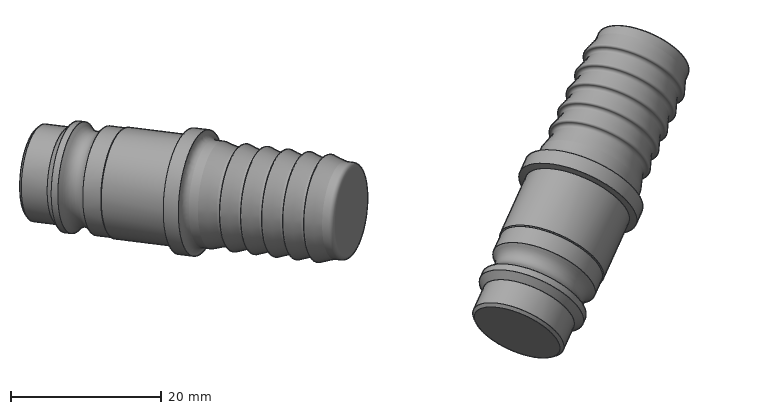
import cadquery as cq
import math

LENGTH = 45.0

BODY_RADIUS = 6.55
NOSE_CHAMFER = 0.4
SLEEVE_RADIUS = 7.5
RIDGE_TOP_START = 5.05
RIDGE_TOP_WIDTH = 0.95

GROOVE_EDGE_RADIUS = 6.98
GROOVE_WIDTH = 2.55

LAND_RADIUS = 7.4
SLEEVE_START = 12.2

FLANGE_RADIUS = 8.5
FLANGE_START = 21.4
FLANGE_WIDTH = 2.15
FLANK_WIDTH = 0.2
FLANGE_FILLET = 1.0

HUB_RADIUS = 7.25
HUB_END = 25.9
HUB_TAPER_END = 28.35

BARB_COUNT = 5
FIRST_BARB = 28.9
LAST_BARB = 40.9
BARB_CREST_RADIUS = 7.4
BARB_ANGLE = 18.0
CREST_ROUNDING = 0.25
ROOT_ROUNDING = 0.4
END_ROUNDING = 0.6

BARB_PITCH = (LAST_BARB - FIRST_BARB) / (BARB_COUNT - 1)
BARB_SLOPE = math.tan(math.radians(BARB_ANGLE))
BARB_ROOT_RADIUS = BARB_CREST_RADIUS - BARB_PITCH * BARB_SLOPE
BARB_WALLS = [FIRST_BARB + i * BARB_PITCH for i in range(BARB_COUNT)]
FLANGE_END = FLANGE_START + FLANGE_WIDTH


def add_plug(profile):
    """Nose, ridge, groove, land and sleeve, up to the flange."""
    ridge_top_end = RIDGE_TOP_START + RIDGE_TOP_WIDTH
    groove_start = ridge_top_end + SLEEVE_RADIUS - GROOVE_EDGE_RADIUS
    groove_end = groove_start + GROOVE_WIDTH
    groove_depth = GROOVE_WIDTH / 2 * math.tan(math.radians(45 / 2))
    groove_floor = (groove_start + GROOVE_WIDTH / 2, GROOVE_EDGE_RADIUS - groove_depth)
    land_start = groove_end + LAND_RADIUS - GROOVE_EDGE_RADIUS
    sleeve_step = SLEEVE_RADIUS - LAND_RADIUS
    return (
        profile.lineTo(0, BODY_RADIUS - NOSE_CHAMFER)
        .lineTo(NOSE_CHAMFER, BODY_RADIUS)
        .lineTo(RIDGE_TOP_START - (SLEEVE_RADIUS - BODY_RADIUS), BODY_RADIUS)
        .lineTo(RIDGE_TOP_START, SLEEVE_RADIUS)
        .lineTo(ridge_top_end, SLEEVE_RADIUS)
        .lineTo(groove_start, GROOVE_EDGE_RADIUS)
        .threePointArc(groove_floor, (groove_end, GROOVE_EDGE_RADIUS))
        .lineTo(land_start, LAND_RADIUS)
        .lineTo(SLEEVE_START - sleeve_step, LAND_RADIUS)
        .lineTo(SLEEVE_START, SLEEVE_RADIUS)
        .lineTo(FLANGE_START - FLANK_WIDTH, SLEEVE_RADIUS)
    )


def add_flange_and_hub(profile):
    """Flange and tapered hub, up to the root of the first barb."""
    return (
        profile.lineTo(FLANGE_START, FLANGE_RADIUS)
        .lineTo(FLANGE_END, FLANGE_RADIUS)
        .lineTo(FLANGE_END + FLANK_WIDTH, HUB_RADIUS)
        .lineTo(HUB_END, HUB_RADIUS)
        .lineTo(HUB_TAPER_END, BODY_RADIUS)
        .lineTo(FIRST_BARB, BODY_RADIUS)
    )


def add_barbs(profile):
    """Sawtooth barbs with sharp corners, then the plain hose end."""
    for wall in BARB_WALLS[:-1]:
        profile = profile.lineTo(wall, BARB_CREST_RADIUS)
        profile = profile.lineTo(wall + BARB_PITCH, BARB_ROOT_RADIUS)
    last_wall = BARB_WALLS[-1]
    last_cone_length = (BARB_CREST_RADIUS - BODY_RADIUS) / BARB_SLOPE
    return (
        profile.lineTo(last_wall, BARB_CREST_RADIUS)
        .lineTo(last_wall + last_cone_length, BODY_RADIUS)
        .lineTo(LENGTH, BODY_RADIUS)
        .lineTo(LENGTH, 0)
    )


def round_edge(body, x, radius, rounding):
    """Fillet the circular edge of the given radius at position x."""
    tolerance = 4.5e-05

    def is_wanted(edge):
        if edge.geomType() != "CIRCLE":
            return False
        return abs(edge.Center().x - x) < tolerance and abs(edge.radius() - radius) < tolerance

    return body.edges().filter(is_wanted).fillet(rounding)


outline = cq.Workplane("XY").moveTo(0, 0)
outline = add_plug(outline)
outline = add_flange_and_hub(outline)
outline = add_barbs(outline)
result = outline.close().revolve(360, (0, 0, 0), (1, 0, 0))

result = round_edge(result, FLANGE_END + FLANK_WIDTH, HUB_RADIUS, FLANGE_FILLET)
result = round_edge(result, LENGTH, BODY_RADIUS, END_ROUNDING)

root_radius = BODY_RADIUS
for barb_wall in BARB_WALLS:
    result = round_edge(result, barb_wall, BARB_CREST_RADIUS, CREST_ROUNDING)
    result = round_edge(result, barb_wall, root_radius, ROOT_ROUNDING)
    root_radius = BARB_ROOT_RADIUS